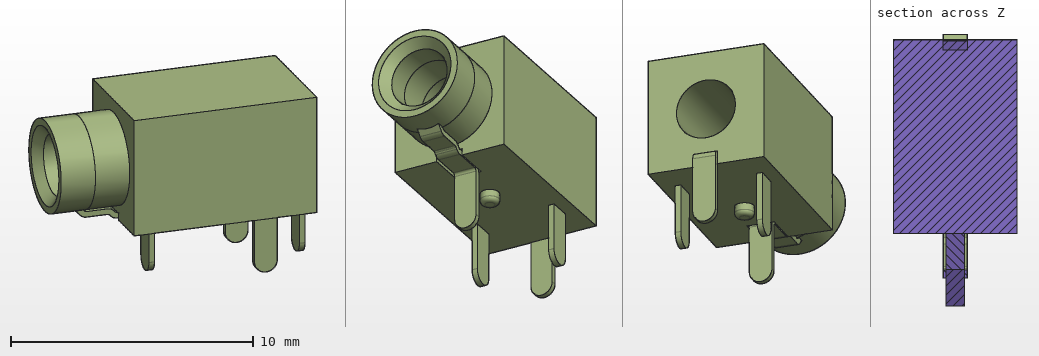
import cadquery as cq
import math


housing_width = 5.11
housing_length = 8.0
housing_height = 5.1
axis_height = housing_height / 2

barrel_radius = 2.0
bore_radius = 1.3
barrel_length = 3.0
ring_length = barrel_length / 2
mouth_radius = 1.7
mouth_depth = mouth_radius - bore_radius

peg_radius = 0.41
peg_height = 0.5
peg_y = 3.5
peg_rounding = 0.2

sheet = 0.25
leg_width = 1.0
leg_length = 2.6
side_leg_x = 1.8
side_leg_y = 6.0

front_leg_y = 1.5
strip_clearance = 0.05
strip_z = strip_clearance + sheet / 2
spring_rise = 0.21
spring_z = strip_z + spring_rise
spring_step_start = -0.12
spring_lift_start = -1.46
spring_lift_end_z = 1.05
spring_slope = math.radians(45)
front_leg_inner_radius = 0.12
front_leg_bend = front_leg_inner_radius + sheet / 2
spring_bend = 0.25
slot_width = 1.2
slot_height = 0.3

rear_overhang = 0.22
rear_leg_y = housing_length + rear_overhang - sheet / 2
rear_top_z = 0.59
rear_tail_z = rear_top_z - sheet / 2
rear_tail_length = 0.5
rear_outer_radius = 0.3
rear_bend = rear_outer_radius - sheet / 2


def along_y(y_start, radius, length):
    """Cylinder on the plug axis, running from y_start towards +Y."""
    start = cq.Vector(0, y_start, axis_height)
    return cq.Workplane(cq.Solid.makeCylinder(radius, length, start, cq.Vector(0, 1, 0)))


def leg_blank(top):
    """Outline of a leg in X and Z with a fully rounded tip, deep enough along Y for any contact."""
    half = leg_width / 2
    tip_centre_z = half - leg_length
    depth = housing_length + barrel_length
    return (
        cq.Workplane("XZ")
        .moveTo(-half, top)
        .lineTo(-half, tip_centre_z)
        .threePointArc((0, -leg_length), (half, tip_centre_z))
        .lineTo(half, top)
        .close()
        .extrude(depth, both=True)
    )


def bent_strip(corners, bend_radii):
    """Strip of sheet metal whose centre line follows the (y, z) corners with rounded bends."""
    path = cq.Workplane("YZ").moveTo(*corners[0])
    for before, corner, after, radius in zip(corners, corners[1:], corners[2:], bend_radii):
        here = cq.Vector(*corner)
        back = (cq.Vector(*before) - here).normalized()
        ahead = (cq.Vector(*after) - here).normalized()
        half_angle = back.getAngle(ahead) / 2
        setback = radius / math.tan(half_angle)
        bisector = (back + ahead).normalized()
        arc_start = here + back * setback
        arc_middle = here + bisector * (radius / math.sin(half_angle) - radius)
        arc_end = here + ahead * setback
        path = path.lineTo(arc_start.x, arc_start.y)
        path = path.threePointArc((arc_middle.x, arc_middle.y), (arc_end.x, arc_end.y))
    path = path.lineTo(*corners[-1])
    start_y, start_z = corners[0]
    return (
        cq.Workplane("XY", origin=(0, start_y, start_z))
        .rect(leg_width, sheet)
        .sweep(path)
    )


def make_side_contact(side):
    """Straight leg under one side of the housing, its flat faces towards X."""
    plate = cq.Workplane().box(leg_width, sheet, leg_length).translate((0, 0, -leg_length / 2))
    leg = plate.intersect(leg_blank(0))
    return leg.rotate((0, 0, 0), (0, 0, 1), 90).translate((side * side_leg_x, side_leg_y, 0))


def make_front_contact():
    """Leg, strip and spring in one piece, ending against the underside of the barrel."""
    step_run = spring_rise / math.tan(spring_slope)
    lift_run = (spring_lift_end_z - spring_z) / math.tan(spring_slope)
    corners = [
        (front_leg_y, -leg_length),
        (front_leg_y, strip_z),
        (spring_step_start, strip_z),
        (spring_step_start - step_run, spring_z),
        (spring_lift_start, spring_z),
        (spring_lift_start - lift_run, spring_lift_end_z),
    ]
    bends = [front_leg_bend, spring_bend, spring_bend, spring_bend]
    contact = bent_strip(corners, bends).intersect(leg_blank(spring_lift_end_z + sheet))
    return contact.cut(along_y(-barrel_length, barrel_radius, barrel_length))


def make_rear_contact():
    """Leg behind the housing with its top bent forward into the rear face."""
    corners = [
        (rear_leg_y, -leg_length),
        (rear_leg_y, rear_tail_z),
        (rear_leg_y - rear_tail_length, rear_tail_z),
    ]
    return bent_strip(corners, [rear_bend]).intersect(leg_blank(rear_top_z))


def make_housing(rear_contact):
    """Bored block with the peg, the front contact's slot and a pocket fitting the rear contact."""
    block = cq.Workplane().box(housing_width, housing_length, housing_height)
    block = block.translate((0, housing_length / 2, axis_height))
    peg = (
        cq.Workplane("XY", origin=(0, peg_y, 0))
        .circle(peg_radius)
        .extrude(-peg_height)
        .faces("<Z")
        .edges()
        .fillet(peg_rounding)
    )
    slot_length = front_leg_y + sheet / 2
    slot = cq.Workplane().box(slot_width, slot_length, slot_height)
    slot = slot.translate((0, slot_length / 2, slot_height / 2))
    bore = along_y(0, bore_radius, housing_length)
    return block.union(peg).cut(bore).cut(slot).cut(rear_contact)


def make_ring(front_y):
    """Plain bored ring of the barrel with its front face at front_y."""
    return along_y(front_y, barrel_radius, ring_length).cut(along_y(front_y, bore_radius, ring_length))


def make_collar():
    """Plain ring against the housing's front face."""
    return make_ring(-ring_length)


def make_mouth_ring():
    """Front ring of the barrel with a conical lead-in for the plug."""
    front = cq.Vector(0, -barrel_length, axis_height)
    lead_in = cq.Solid.makeCone(mouth_radius, bore_radius, mouth_depth, front, cq.Vector(0, 1, 0))
    return make_ring(-barrel_length).cut(cq.Workplane(lead_in))


rear_contact = make_rear_contact()
front_contact = make_front_contact()
side_contacts = [make_side_contact(side) for side in (-1, 1)]
housing = make_housing(rear_contact)
collar = make_collar()
mouth_ring = make_mouth_ring()

result = cq.Compound.makeCompound(
    [
        housing.val(),
        collar.val(),
        mouth_ring.val(),
        front_contact.val(),
        rear_contact.val(),
        *[contact.val() for contact in side_contacts],
    ]
)